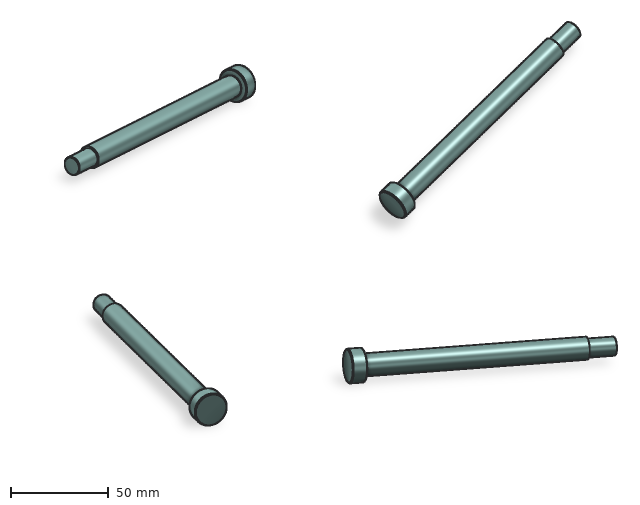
import cadquery as cq

total_length = 143.0
head_diameter = 18.0
head_length = 8.0
shoulder_diameter = 12.0
tip_diameter = 10.0
tip_length = 15.0
neck_diameter = 11.5
neck_width = 0.5
head_top_chamfer = 0.6
head_underside_chamfer = 0.5
tip_chamfer = 0.5

tip_end = -total_length / 2
shoulder_start = tip_end + tip_length
head_end = total_length / 2
head_start = head_end - head_length
neck_start = head_start - neck_width


def cylinder(diameter, start, end):
    """Solid cylinder along +Y between two Y positions."""
    plane = cq.Workplane("XZ", origin=(0, start, 0))
    return plane.circle(diameter / 2).extrude(start - end)


head = cylinder(head_diameter, head_start, head_end)
head = head.faces(">Y").edges().chamfer(head_top_chamfer)
head = head.faces("<Y").edges().chamfer(head_underside_chamfer)

neck = cylinder(neck_diameter, neck_start, head_start)
shoulder = cylinder(shoulder_diameter, shoulder_start, neck_start)

tip = cylinder(tip_diameter, tip_end, shoulder_start)
tip = tip.faces("<Y").edges().chamfer(tip_chamfer)

result = head.union(neck).union(shoulder).union(tip)